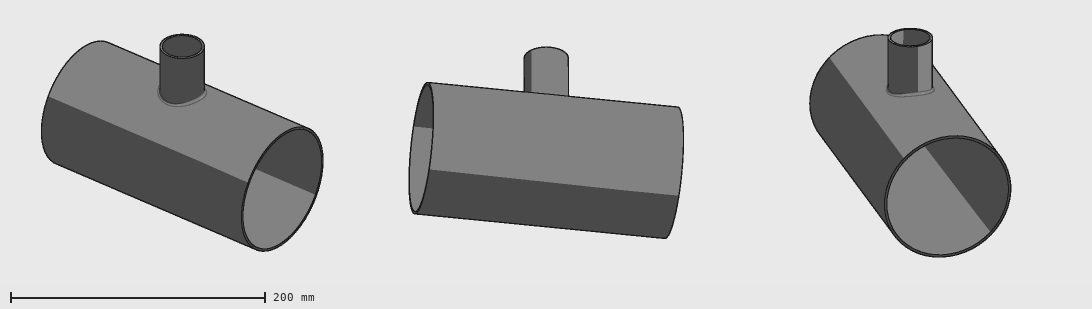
import cadquery as cq

pipe_length = 200.0
pipe_outer_diameter = 104.0
pipe_wall = 2.0
pipe_inner_diameter = pipe_outer_diameter - 2 * pipe_wall

branch_outer_diameter = 35.0
branch_wall = 2.0
branch_inner_diameter = branch_outer_diameter - 2 * branch_wall
branch_height = 41.5
branch_top = pipe_outer_diameter / 2 + branch_height

weld_radius = 2.0


def pipe_cylinder(diameter):
    """Solid cylinder along X over the full pipe length."""
    return cq.Workplane("YZ").circle(diameter / 2).extrude(pipe_length / 2, both=True)


def branch_cylinder(diameter):
    """Solid cylinder along Z from the pipe axis to the branch rim."""
    return cq.Workplane("XY").circle(diameter / 2).extrude(branch_top)


def weld_edge_selector():
    """Box enclosing only the seam where the branch meets the main pipe."""
    reach = branch_outer_diameter / 2 + weld_radius
    above_crown = pipe_outer_diameter / 2 + weld_radius
    return cq.selectors.BoxSelector((-reach, -reach, 0), (reach, reach, above_crown))


body = pipe_cylinder(pipe_outer_diameter).union(branch_cylinder(branch_outer_diameter))
body = body.edges(weld_edge_selector()).fillet(weld_radius)

body = body.cut(pipe_cylinder(pipe_inner_diameter))
result = body.cut(branch_cylinder(branch_inner_diameter))